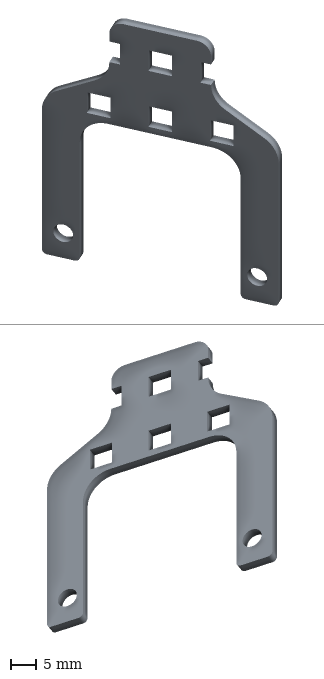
import cadquery as cq
import math

height = 60.0
width = 50.0
thickness = 2.0

leg_width = 8.0
arch_top_z = 35.0
arch_radius = 6.0
foot_radius = 1.0

neck_width = 21.5
neck_corner_radius = 3.0
window_size = 5.0
notch_floor_spacing = 17.0
neck_window_drop = 5.0
shoulder_radius = 6.0
shoulder_slope = math.radians(30)

arch_web = 1.5
lower_window_pitch = 13.0
hole_diameter = 4.2
hole_spacing = 41.0
hole_height = 6.0

half_width = width / 2
half_neck = neck_width / 2
half_opening = half_width - leg_width
half_notch_floor = notch_floor_spacing / 2
notch_top_z = height - neck_window_drop
notch_bottom_z = notch_top_z - window_size

arc_turn = math.pi / 2 - shoulder_slope
arc_run = shoulder_radius * (1 - math.cos(arc_turn))
arc_drop = shoulder_radius * math.sin(arc_turn)
slope_start_x = half_neck + arc_run
slope_start_z = notch_bottom_z - arc_drop
slope_end_x = half_width - arc_run
slope_end_z = slope_start_z - (slope_end_x - slope_start_x) * math.tan(shoulder_slope)
shoulder_end_z = slope_end_z - arc_drop


def make_half_plate():
    """Right half of the plate; the arch and corner radii are tangent arcs."""
    profile = (
        cq.Workplane("XZ")
        .moveTo(0, height)
        .lineTo(half_neck - neck_corner_radius, height)
        .tangentArcPoint((half_neck, height - neck_corner_radius), relative=False)
        .lineTo(half_neck, notch_top_z)
        .lineTo(half_notch_floor, notch_top_z)
        .lineTo(half_notch_floor, notch_bottom_z)
        .lineTo(half_neck, notch_bottom_z)
        .radiusArc((slope_start_x, slope_start_z), -shoulder_radius)
        .lineTo(slope_end_x, slope_end_z)
        .tangentArcPoint((half_width, shoulder_end_z), relative=False)
        .lineTo(half_width, foot_radius)
        .tangentArcPoint((half_width - foot_radius, 0), relative=False)
        .lineTo(half_opening + foot_radius, 0)
        .tangentArcPoint((half_opening, foot_radius), relative=False)
        .lineTo(half_opening, arch_top_z - arch_radius)
        .tangentArcPoint((half_opening - arch_radius, arch_top_z), relative=False)
        .lineTo(0, arch_top_z)
        .close()
    )
    return profile.extrude(thickness / 2, both=True)


def make_windows():
    """Square through windows: one in the neck and a row of three above the arch."""
    neck_window_z = (notch_top_z + notch_bottom_z) / 2
    lower_window_z = arch_top_z + arch_web + window_size / 2
    centers = [(0, neck_window_z)]
    centers += [(side * lower_window_pitch, lower_window_z) for side in (-1, 0, 1)]
    return (
        cq.Workplane("XZ")
        .pushPoints(centers)
        .rect(window_size, window_size)
        .extrude(thickness, both=True)
    )


def make_screw_holes():
    """One round through hole near the foot of each leg."""
    centers = [(side * hole_spacing / 2, hole_height) for side in (-1, 1)]
    return (
        cq.Workplane("XZ")
        .pushPoints(centers)
        .circle(hole_diameter / 2)
        .extrude(thickness, both=True)
    )


half_plate = make_half_plate()
plate = half_plate.union(half_plate.mirror("YZ")).clean()
result = plate.cut(make_windows()).cut(make_screw_holes())